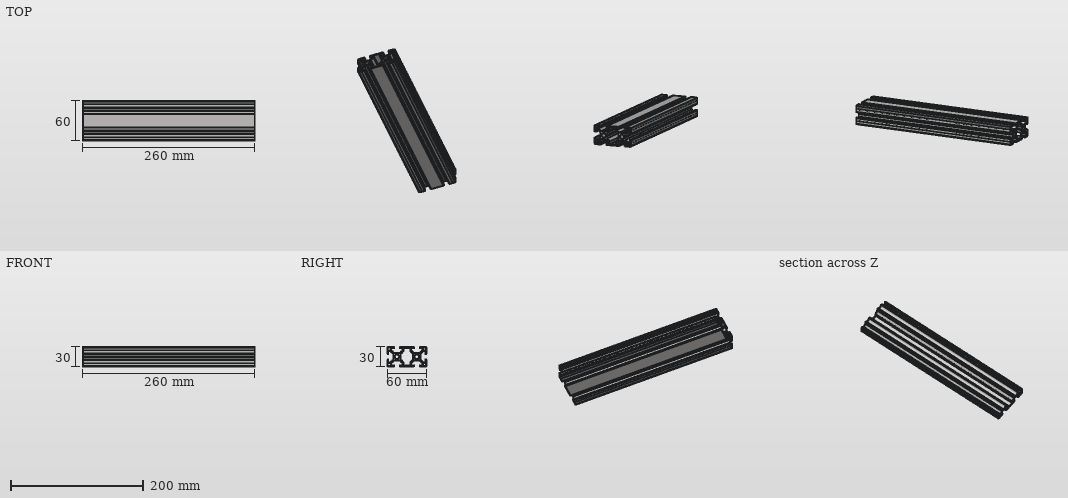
import cadquery as cq

LENGTH = 260.0
CELL = 30.0
CELL_HALF = CELL / 2
CELL_CENTRES = (-CELL_HALF, CELL_HALF)
CORNER_RADIUS = 2.5

LIP_THICKNESS = 2.0
LIP_STEP = 1.0
LIP_STEP_DEPTH = 1.0
OPENING_HALF = 4.1
SLOT_HALF = 8.25
LIP_INNER = CELL_HALF - LIP_THICKNESS

CORE_HALF = 5.8
GROOVE_HALF = 0.8
GROOVE_DEPTH = 0.5
BORE_DIAMETER = 6.8

ARM_OFFSET = 1.4
ARM_AT_CORE = CORE_HALF - ARM_OFFSET
ARM_AT_SLOT = SLOT_HALF + ARM_OFFSET

BOX_WALL = 1.4
WEB_THICKNESS = 1.95


def end_plane():
    """Workplane in Y and Z on the -X end of the part."""
    return cq.Workplane("YZ", origin=(-LENGTH / 2, 0, 0))


def prism(outline):
    """Extrude a closed (y, z) outline over the full length of the part."""
    return end_plane().polyline(outline).close().extrude(LENGTH)


def mirrored(half_outline):
    """Half outline followed by its mirror image in the first coordinate."""
    return half_outline + [(-across, out) for across, out in reversed(half_outline)]


def outer_block():
    block = cq.Workplane("XY").box(LENGTH, 2 * CELL, CELL)
    return block.edges("|X").fillet(CORNER_RADIUS)


def t_slot(centre_y, angle):
    """T-slot of one cell, opening upwards and then turned about the cell axis."""
    step_level = CELL_HALF - LIP_STEP_DEPTH
    right_half = [
        (OPENING_HALF + LIP_STEP, CELL_HALF),
        (OPENING_HALF + LIP_STEP, step_level),
        (OPENING_HALF, step_level),
        (OPENING_HALF, LIP_INNER),
        (SLOT_HALF, LIP_INNER),
        (SLOT_HALF, ARM_AT_SLOT),
        (ARM_AT_CORE, CORE_HALF),
        (GROOVE_HALF, CORE_HALF),
    ]
    slot = prism(mirrored(right_half)).union(core_groove())
    return slot.rotate((0, 0, 0), (1, 0, 0), angle).translate((0, centre_y, 0))


def core_groove():
    """V groove in the upper face of a core that is centred on the X axis."""
    return prism([
        (GROOVE_HALF, CORE_HALF),
        (0, CORE_HALF - GROOVE_DEPTH),
        (-GROOVE_HALF, CORE_HALF),
    ])


def centre_hollow():
    """Hollow between the two cores, bounded by the webs and the outer walls."""
    core_face = CELL_HALF - CORE_HALF
    web_from_cell = SLOT_HALF + WEB_THICKNESS
    web_face = CELL_HALF - web_from_cell
    web_end = web_from_cell - ARM_OFFSET
    groove_bottom = (core_face + GROOVE_DEPTH, 0)
    upper_right = [
        (core_face, GROOVE_HALF),
        (core_face, ARM_AT_CORE),
        (web_face, web_end),
        (web_face, LIP_INNER),
    ]
    lower_right = [(y, -z) for y, z in reversed(upper_right)]
    return prism(mirrored(lower_right + [groove_bottom] + upper_right))


def corner_hollows():
    """Square hollows running inside the four outer corners."""
    inner = SLOT_HALF + BOX_WALL
    outer = CELL_HALF - BOX_WALL
    size = outer - inner
    offset = (inner + outer) / 2
    centres = [(side * (CELL_HALF + offset), level * offset) for side in (-1, 1) for level in (-1, 1)]
    return end_plane().pushPoints(centres).rect(size, size).extrude(LENGTH)


def bores():
    """Round bore through the middle of each core."""
    centres = [(centre_y, 0) for centre_y in CELL_CENTRES]
    return end_plane().pushPoints(centres).circle(BORE_DIAMETER / 2).extrude(LENGTH)


result = outer_block()
for cell_y in CELL_CENTRES:
    outward_angle = -90 if cell_y > 0 else 90
    for slot_angle in (0, 180, outward_angle):
        result = result.cut(t_slot(cell_y, slot_angle))
result = result.cut(centre_hollow()).cut(corner_hollows()).cut(bores())